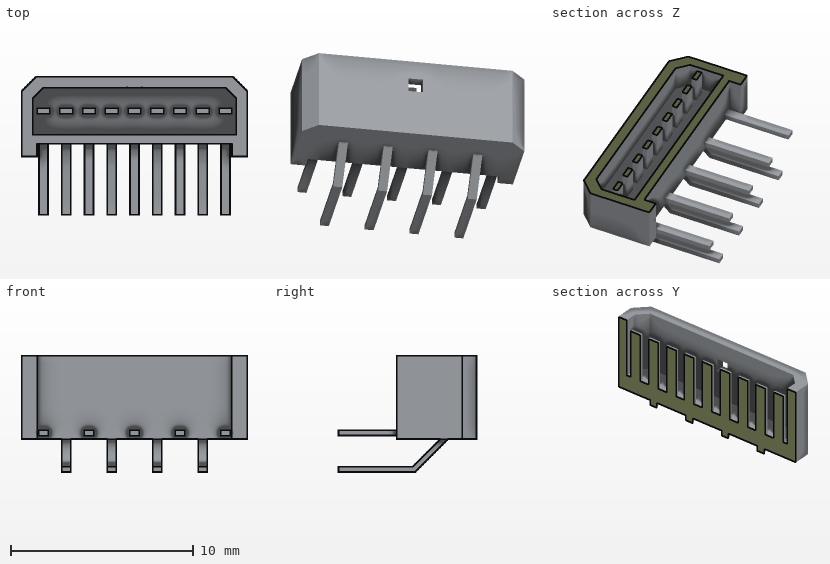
import cadquery as cq
import math

LENGTH = 12.4
DEPTH = 4.4
HEIGHT = 4.6
CORNER_CHAMFER = 0.8

EAR_LENGTH = 0.85
EAR_DEPTH = 0.7

CAVITY_WALL = 0.6
FRONT_WALL = 0.5
CAVITY_CHAMFER = 0.6
FLOOR_THICKNESS = 1.0

WINDOW_SIZE = 0.8
WINDOW_SILL_Z = 2.7

CONTACT_COUNT = 9
PITCH = 1.25
CONTACT_THICKNESS = 0.3
BLADE_WIDTH = 0.7
BLADE_BACK_Y = -1.75
BLADE_TOP_Z = 4.0
TAIL_WIDTH = 0.5
TAIL_END_Y = -7.6

UPPER_TAIL_Z = 0.2

LOWER_TAIL_Z = -1.8
SLOPE_BACK_Y = -1.58


def box(x_center, width, y_range, z_range):
    """Block centred on x_center, spanning the given Y and Z ranges."""
    y_low, y_high = y_range
    z_low, z_high = z_range
    block = cq.Workplane("XY").box(width, y_high - y_low, z_high - z_low, centered=(True, False, False))
    return block.translate((x_center, y_low, z_low))


def make_housing():
    """Chamfered block with the ear recess, the cavity and the window cut away."""
    body = box(0, LENGTH, (-DEPTH, 0), (0, HEIGHT))
    body = body.edges("|Z and >Y").chamfer(CORNER_CHAMFER)

    front_y = EAR_DEPTH - DEPTH
    recess = box(0, LENGTH - 2 * EAR_LENGTH, (-DEPTH, front_y), (0, HEIGHT))

    cavity_y = (front_y + FRONT_WALL, -CAVITY_WALL)
    cavity = box(0, LENGTH - 2 * CAVITY_WALL, cavity_y, (FLOOR_THICKNESS, HEIGHT))
    cavity = cavity.edges("|Z and >Y").chamfer(CAVITY_CHAMFER)

    window = box(0, WINDOW_SIZE, (-CAVITY_WALL, 0), (WINDOW_SILL_Z, WINDOW_SILL_Z + WINDOW_SIZE))
    return body.cut(recess).cut(cavity).cut(window)


def make_blade(x):
    """Upright blade rising from the bottom of the upper tail row."""
    blade_y = (BLADE_BACK_Y - CONTACT_THICKNESS, BLADE_BACK_Y)
    return box(x, BLADE_WIDTH, blade_y, (UPPER_TAIL_Z, BLADE_TOP_Z))


def make_straight_tail(x):
    """Level tail running from the blade out through the front wall."""
    tail_z = (UPPER_TAIL_Z, UPPER_TAIL_Z + CONTACT_THICKNESS)
    return box(x, TAIL_WIDTH, (TAIL_END_Y, BLADE_BACK_Y), tail_z)


def make_bent_tail(x):
    """Tail of even thickness: a 45 degree slope through the underside, then a level run."""
    root_z = UPPER_TAIL_Z
    level_top_z = LOWER_TAIL_Z + CONTACT_THICKNESS
    slope_front_y = SLOPE_BACK_Y - CONTACT_THICKNESS * math.sqrt(2)
    points = [
        (SLOPE_BACK_Y + root_z, root_z),
        (SLOPE_BACK_Y + LOWER_TAIL_Z, LOWER_TAIL_Z),
        (TAIL_END_Y, LOWER_TAIL_Z),
        (TAIL_END_Y, level_top_z),
        (slope_front_y + level_top_z, level_top_z),
        (slope_front_y + root_z, root_z),
    ]
    tail = cq.Workplane("YZ").polyline(points).close().extrude(TAIL_WIDTH / 2, both=True)
    return tail.translate((x, 0, 0))


result = make_housing()
for index in range(CONTACT_COUNT):
    contact_x = (index - (CONTACT_COUNT - 1) / 2) * PITCH
    make_tail = make_straight_tail if index % 2 == 0 else make_bent_tail
    result = result.union(make_blade(contact_x)).union(make_tail(contact_x))